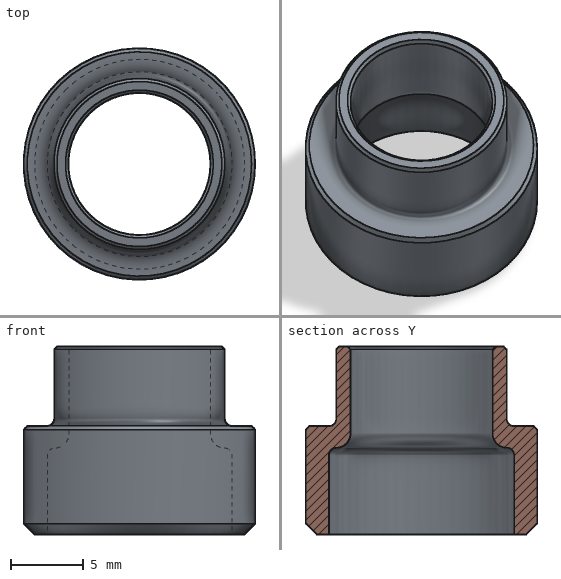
import cadquery as cq
import math

body_radius = 8.0
total_height = 13.0
body_height = 7.5
neck_radius = 5.9
bore_radius = 4.9

base_chamfer = 0.75
shoulder_chamfer = 0.25
rim_chamfer = 0.2
neck_fillet = 0.5

bore_bottom = 6.98
step_round = 1.0
step_fillet = 0.5
socket_radius = bore_radius + step_round + step_fillet
step_height = bore_bottom - step_round
socket_top = step_height - step_fillet


def arc_point(center_x, center_z, radius, x_side, z_side):
    """Middle of a quarter arc lying on the given sides of its center."""
    reach = radius * math.sqrt(0.5)
    return (center_x + x_side * reach, center_z + z_side * reach)


def make_outside():
    """Solid turned body with its narrower neck."""
    fillet_radius = neck_radius + neck_fillet
    fillet_top = body_height + neck_fillet
    profile = (
        cq.Workplane("XZ")
        .lineTo(body_radius - base_chamfer, 0)
        .lineTo(body_radius, base_chamfer)
        .lineTo(body_radius, body_height - shoulder_chamfer)
        .lineTo(body_radius - shoulder_chamfer, body_height)
        .lineTo(fillet_radius, body_height)
        .threePointArc(
            arc_point(fillet_radius, fillet_top, neck_fillet, -1, -1),
            (neck_radius, fillet_top),
        )
        .lineTo(neck_radius, total_height - rim_chamfer)
        .lineTo(neck_radius - rim_chamfer, total_height)
        .lineTo(0, total_height)
        .close()
    )
    return profile.revolve(360, (0, 0, 0), (0, 1, 0))


def make_cavity():
    """Through opening: socket, rounded step, bore and flared rim."""
    step_radius = bore_radius + step_round
    profile = (
        cq.Workplane("XZ")
        .lineTo(socket_radius, 0)
        .lineTo(socket_radius, socket_top)
        .threePointArc(
            arc_point(socket_radius - step_fillet, socket_top, step_fillet, 1, 1),
            (socket_radius - step_fillet, step_height),
        )
        .threePointArc(
            arc_point(step_radius, bore_bottom, step_round, -1, -1),
            (bore_radius, bore_bottom),
        )
        .lineTo(bore_radius, total_height - rim_chamfer)
        .lineTo(bore_radius + rim_chamfer, total_height)
        .lineTo(0, total_height)
        .close()
    )
    return profile.revolve(360, (0, 0, 0), (0, 1, 0))


result = make_outside().cut(make_cavity())